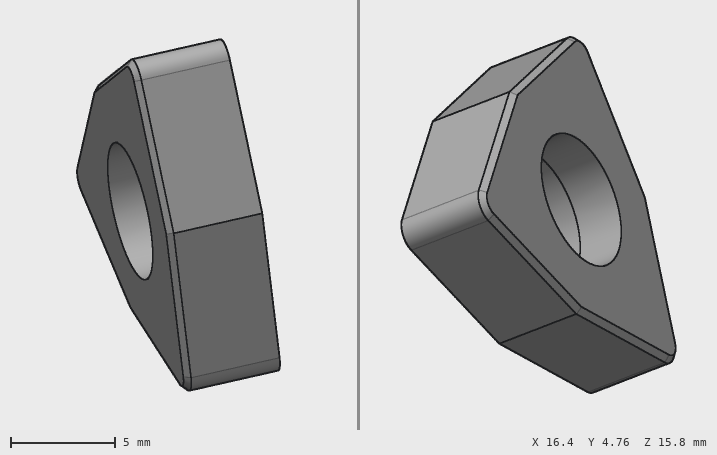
import cadquery as cq
import math

inscribed_diameter = 12.71
corner_angle = 80.0
corner_directions = (90, 210, 330)
corner_radius = 1.0
thickness = 4.76
edge_chamfer = 0.3
hole_diameter = 6.7
counterbore_diameter = 7.8
counterbore_depth = thickness / 2

inscribed_radius = inscribed_diameter / 2
half_corner = math.radians(corner_angle / 2)
corner_distance = inscribed_radius / math.sin(half_corner)
shallow_offset = 60
edge_normal_offset = math.radians(90 - shallow_offset) - half_corner
shallow_distance = inscribed_radius / math.cos(edge_normal_offset)


def polar_point(distance, degrees):
    angle = math.radians(degrees)
    return (distance * math.cos(angle), distance * math.sin(angle))


def insert_body():
    """Six-sided prism with rounded corners, from y = 0 to y = thickness."""
    outline = []
    for corner_direction in corner_directions:
        outline.append(polar_point(corner_distance, corner_direction))
        outline.append(polar_point(shallow_distance, corner_direction + shallow_offset))
    body = cq.Workplane("XZ").polyline(outline).close().extrude(-thickness)

    for corner_direction in corner_directions:
        x, z = polar_point(corner_distance, corner_direction)
        corner_edge = cq.selectors.NearestToPointSelector((x, thickness / 2, z))
        body = body.edges(corner_edge).fillet(corner_radius)
    return body.faces("<Y").edges().chamfer(edge_chamfer)


def screw_hole():
    """Through hole with a wider counterbore entering from the +Y face."""
    hole = cq.Workplane("XZ").circle(hole_diameter / 2).extrude(-thickness)
    counterbore_floor = cq.Workplane("XZ", origin=(0, thickness - counterbore_depth, 0))
    counterbore = counterbore_floor.circle(counterbore_diameter / 2).extrude(-counterbore_depth)
    return hole.union(counterbore)


result = insert_body().cut(screw_hole())